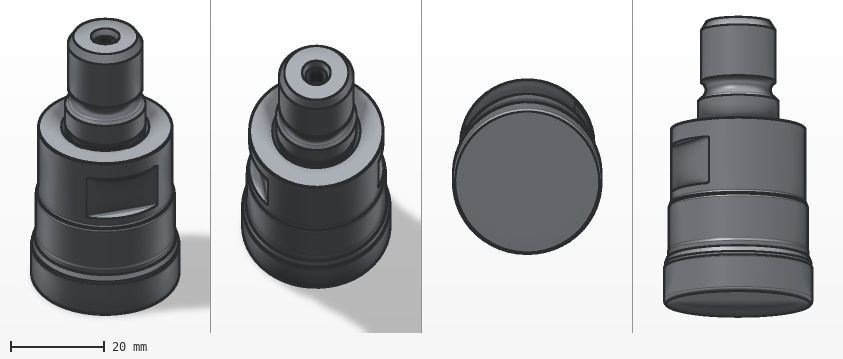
import cadquery as cq
import math

total_height = 61.1
body_top = 38.0

base_radius = 15.9
base_foot_radius = 15.4
base_round_height = 0.9
base_round = 1.15
base_ring_top = 7.6
shoulder_foot = 7.95
base_ring_round = 0.5
shoulder_bottom = 8.7
shoulder_bottom_radius = 15.7
shoulder_top = 10.0
shoulder_top_radius = 15.15
bead_radius = 15.05
bead_top = 11.75
bead_chamfer_height = 0.6
sleeve_radius = 29.75 / 2
sleeve_round_bottom = 20.8
sleeve_round_top = 21.3
sleeve_round = 0.85
neck_fillet_bottom = 21.7
neck_fillet_radius = 14.6
neck_fillet = 0.75
neck_bottom = 22.3

body_radius = 28.7 / 2
body_edge_chamfer = 0.2
flat_offset = 12.0
flat_bottom = 23.95
flat_top = 34.1
flat_corner_radius = 0.35

recess_top_radius = 9.4
recess_floor_radius = 17.0 / 2
recess_depth = recess_top_radius - recess_floor_radius

collar_radius = 8.6
collar_bottom = 39.0
collar_top = 43.9
stud_radius = 16.0 / 2
collar_foot_height = 0.75
groove_bottom = 44.6
groove_edge_radius = 7.9
groove_middle = 46.4
groove_middle_radius = 6.95
head_bottom = 48.2
head_chamfer_height = 1.9
head_top_radius = 6.85

hole_radius = 4.5 / 2
hole_mouth_radius = 3.05
hole_mouth_angle = 60.0
hole_depth = 7.35
drill_tip_angle = 118.0


def cone_height(radius_change, included_angle):
    return radius_change / math.tan(math.radians(included_angle / 2))


def revolve_profile(profile):
    """Close a radius-height profile and turn it around Z."""
    return profile.close().revolve(360, (0, 0, 0), (0, 1, 0))


def make_turned_part():
    profile = (
        cq.Workplane("XZ")
        .lineTo(base_foot_radius, 0)
        .radiusArc((base_radius, base_round_height), -base_round)
        .lineTo(base_radius, base_ring_top)
        .radiusArc((shoulder_bottom_radius, shoulder_foot), -base_ring_round)
        .lineTo(shoulder_bottom_radius, shoulder_bottom)
        .lineTo(shoulder_top_radius, shoulder_top)
        .lineTo(bead_radius, shoulder_top)
        .lineTo(bead_radius, bead_top - bead_chamfer_height)
        .lineTo(sleeve_radius, bead_top)
        .lineTo(sleeve_radius, sleeve_round_bottom)
        .radiusArc((neck_fillet_radius, sleeve_round_top), -sleeve_round)
        .lineTo(neck_fillet_radius, neck_fillet_bottom)
        .radiusArc((body_radius, neck_bottom), neck_fillet)
        .lineTo(body_radius, body_top - body_edge_chamfer)
        .lineTo(body_radius - body_edge_chamfer, body_top)
        .lineTo(recess_top_radius, body_top)
        .lineTo(recess_floor_radius, body_top - recess_depth)
        .lineTo(stud_radius, body_top - recess_depth)
        .lineTo(stud_radius, collar_bottom - collar_foot_height)
        .lineTo(collar_radius, collar_bottom)
        .lineTo(collar_radius, collar_top)
        .lineTo(groove_edge_radius, groove_bottom)
        .threePointArc((groove_middle_radius, groove_middle), (groove_edge_radius, head_bottom))
        .lineTo(stud_radius, head_bottom)
        .lineTo(stud_radius, total_height - head_chamfer_height)
        .lineTo(head_top_radius, total_height)
        .lineTo(0, total_height)
    )
    return revolve_profile(profile)


def make_centre_hole():
    mouth_depth = cone_height(hole_mouth_radius - hole_radius, hole_mouth_angle)
    tip_depth = hole_depth + cone_height(hole_radius, drill_tip_angle)
    profile = (
        cq.Workplane("XZ")
        .moveTo(0, total_height)
        .lineTo(hole_mouth_radius, total_height)
        .lineTo(hole_radius, total_height - mouth_depth)
        .lineTo(hole_radius, total_height - hole_depth)
        .lineTo(0, total_height - tip_depth)
    )
    return revolve_profile(profile)


def make_flat_cutter(side):
    """Slab outside one wrench flat; side is +1 or -1 along X."""
    slab_depth = base_radius - flat_offset
    slab = cq.Workplane("XY").box(slab_depth, 2 * base_radius, flat_top - flat_bottom)
    inner_face = "<X" if side > 0 else ">X"
    slab = slab.faces(inner_face).edges("|Y").fillet(flat_corner_radius)
    return slab.translate((side * (flat_offset + slab_depth / 2), 0, (flat_top + flat_bottom) / 2))


result = make_turned_part().cut(make_centre_hole())
for side in (-1, 1):
    result = result.cut(make_flat_cutter(side))